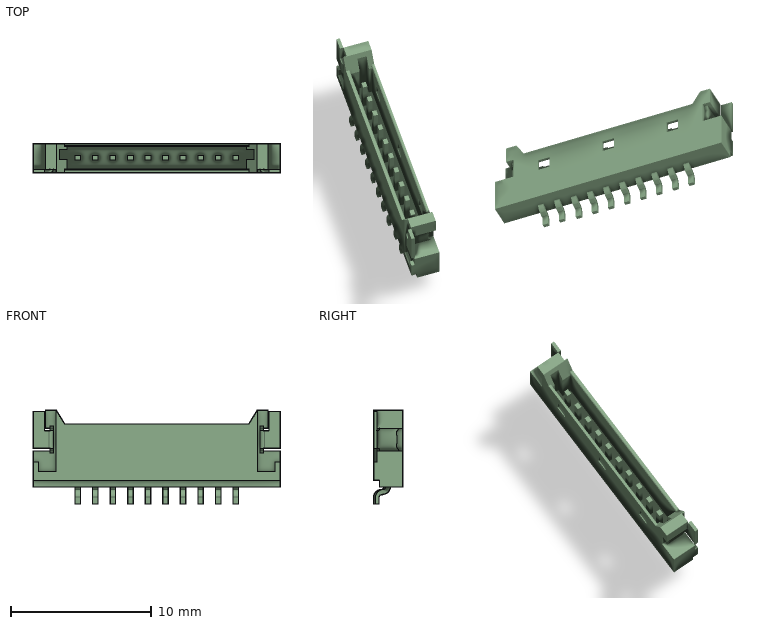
import cadquery as cq
import math


DIAGONAL = math.sqrt(0.5)

length = 17.65
half_length = length / 2
depth = 2.1
total_height = 6.7
foot_drop = 1.22
post_top = total_height - foot_drop
wall_top = 4.52
shelf_top = 2.6
step_depth = 0.42
step_height = 0.48

post_start = 0.88
slope_start = 1.66
slope_end = 2.26
slope_gradient = (post_top - wall_top) / (slope_end - slope_start)

front_wall = 0.26
back_wall = 0.21
lip_chamfer = 0.05
cavity_start = 2.42
cavity_floor = 1.11
cavity_back = depth - back_wall
cavity_width = cavity_back - front_wall
key_start = 1.87
key_front = 0.97
key_back = 1.66

pin_count = 10
pin_pitch = 1.25
pin_width = 0.4
blade_front = 0.92
blade_back = 1.24
blade_top = 3.62
pin_exit_front = 0.75
pin_exit_back = 1.1
foot_thickness = 0.26
bend_bottom = -0.69

front_lower_mid = (0.12, -0.37)
front_joint = (0.5, -0.18)
front_upper_mid = (0.65, -0.12)
rear_upper_mid = (0.99, -0.25)
rear_upper_end = (0.78, -0.46)
rear_lower_start = (0.45, -0.56)
rear_lower_mid = (0.32, -0.6)

set_back_count = 2
set_back = 0.15

window_size = 0.9
window_top = 3.45
window_spacing = 4 * pin_pitch

tab_thickness = 0.25
tab_bottom = 2.77
tab_shoulder = 4.05
tab_top = 5.4
tab_upper_width = 0.83
bend_start = 1.15
bend_inner_radius = 0.05
bend_outer_radius = bend_inner_radius + tab_thickness
bend_end = bend_start + bend_outer_radius
plate_inner = bend_start + bend_inner_radius
recess_top = 4.2
slot_bottom = 2.44
slot_top = 4.36
flare_start = bend_outer_radius
flare_radius = 0.15
flare_end = flare_start + flare_radius
plate_tip = 1.96
tip_notch = 1.62
tip_notch_middle = 1.68
tip_notch_height = 1.06
pocket_end = 1.62
pocket_floor = 1.11
corner_width = 0.39
corner_top = 1.8


def block(x0, x1, y0, y1, z0, z1):
    """Box between two opposite corners."""
    return cq.Workplane("XY").box(x1 - x0, y1 - y0, z1 - z0, centered=False).translate((x0, y0, z0))


def end_block(d0, d1, y0, y1, z0, z1):
    """Box at the left end, placed by distances from that end."""
    return block(d0 - half_length, d1 - half_length, y0, y1, z0, z1)


def both_ends(left):
    """The left-end shape together with its mirror image at the right end."""
    return left.union(left.mirror("YZ"))


def side_profile(x0):
    """Workplane at X = x0 with Y and Z as its axes, extruding toward +X."""
    return cq.Workplane("YZ").workplane(offset=x0)


def make_shell():
    """Outer housing with raised end posts and a step along the lower front edge."""
    slope_x = half_length - slope_end
    top_x = half_length - slope_start
    post_x = half_length - post_start
    outline = [
        (-half_length, 0), (half_length, 0), (half_length, shelf_top), (post_x, shelf_top),
        (post_x, post_top), (top_x, post_top), (slope_x, wall_top), (-slope_x, wall_top),
        (-top_x, post_top), (-post_x, post_top), (-post_x, shelf_top), (-half_length, shelf_top),
    ]
    shell = cq.Workplane("XZ").polyline(outline).close().extrude(-depth)
    return shell.cut(block(-half_length, half_length, 0, step_depth, 0, step_height))


def make_lip(wall_y, outward):
    """Chamfer cutter along the top inner edge of a long wall; outward is the sign of Y into the wall."""
    lip_x = half_length - slope_end
    corners = [
        (wall_y, wall_top - lip_chamfer),
        (wall_y + outward * lip_chamfer, wall_top),
        (wall_y, wall_top),
    ]
    return side_profile(-lip_x).polyline(corners).close().extrude(2 * lip_x)


def make_cavity():
    """Open-topped cavity with sloped lead-ins, keyways at the ends and a chamfered rim."""
    cavity_x = half_length - cavity_start
    cavity = block(-cavity_x, cavity_x, front_wall, cavity_back, cavity_floor, post_top)

    lead_drop = slope_gradient * (cavity_start - slope_end)
    lead_in = (
        cq.Workplane("XZ", origin=(-half_length, front_wall, 0))
        .polyline([(slope_end, wall_top), (cavity_start, wall_top), (cavity_start, wall_top - lead_drop)])
        .close().extrude(-cavity_width)
    )
    keyway = end_block(key_start, cavity_start, key_front, key_back, cavity_floor, post_top)

    ends = both_ends(lead_in.union(keyway))
    lips = make_lip(front_wall, -1).union(make_lip(cavity_back, 1))
    return cavity.union(ends).union(lips)


def make_windows():
    """Three square openings through the back wall."""
    windows = cq.Workplane("XY")
    for index in (-1, 0, 1):
        left = index * window_spacing - window_size / 2
        windows = windows.union(
            block(left, left + window_size, cavity_back, depth, window_top - window_size, window_top)
        )
    return windows


def make_plate(x0, thickness):
    """Upright tab plate: flared behind the bend and notched at its tip."""
    middle = (tab_bottom + tab_shoulder) / 2
    notch_low = middle - tip_notch_height / 2
    notch_high = middle + tip_notch_height / 2
    arc_offset = flare_radius * (1 - DIAGONAL)
    arc_y = flare_start + flare_radius * DIAGONAL
    return (
        side_profile(x0)
        .moveTo(flare_start, tab_bottom)
        .threePointArc((arc_y, tab_bottom - arc_offset), (flare_end, tab_bottom - flare_radius))
        .lineTo(flare_end, slot_bottom)
        .lineTo(plate_tip, slot_bottom)
        .lineTo(tip_notch, notch_low)
        .threePointArc((tip_notch_middle, middle), (tip_notch, notch_high))
        .lineTo(plate_tip, slot_top)
        .lineTo(flare_end, slot_top)
        .lineTo(flare_end, tab_shoulder + flare_radius)
        .threePointArc((arc_y, tab_shoulder + arc_offset), (flare_start, tab_shoulder))
        .close().extrude(thickness)
    )


def make_tab_recess():
    """Front pocket, side recess and slot for one retaining tab."""
    pocket = end_block(corner_width, pocket_end, 0, tab_thickness, pocket_floor, post_top)
    corner = end_block(0, corner_width, 0, tab_thickness, corner_top, post_top)
    side = end_block(0, bend_end, 0, depth, shelf_top, recess_top)
    slot = end_block(plate_inner, bend_end, 0, flare_end, slot_bottom, slot_top)
    return pocket.union(corner).union(side).union(slot)


def make_tab():
    """One retaining tab: a flat ear, a right-angle bend and a plate held in the slot."""
    ear = end_block(0, tab_upper_width, 0, tab_thickness, tab_bottom, tab_top)
    outer_mid = (bend_start + bend_outer_radius * DIAGONAL, bend_outer_radius * (1 - DIAGONAL))
    inner_mid = (
        bend_start + bend_inner_radius * DIAGONAL,
        bend_outer_radius - bend_inner_radius * DIAGONAL,
    )
    strip = (
        cq.Workplane("XY", origin=(-half_length, 0, tab_bottom))
        .moveTo(0, 0)
        .lineTo(bend_start, 0)
        .threePointArc(outer_mid, (bend_end, bend_outer_radius))
        .lineTo(plate_inner, bend_outer_radius)
        .threePointArc(inner_mid, (bend_start, tab_thickness))
        .lineTo(0, tab_thickness)
        .close().extrude(tab_shoulder - tab_bottom)
    )
    plate = make_plate(plate_inner - half_length, bend_end - plate_inner)
    return ear.union(strip).union(plate)


def make_pin(tail_shift):
    """One pin centred on X = 0: straight contact blade and S-bent tail, moved back by tail_shift."""
    blade = block(-pin_width / 2, pin_width / 2, blade_front, blade_back, 0, blade_top)
    tail = (
        side_profile(-pin_width / 2)
        .moveTo(0, -foot_drop)
        .lineTo(0, bend_bottom)
        .threePointArc(front_lower_mid, front_joint)
        .threePointArc(front_upper_mid, (pin_exit_front, 0))
        .lineTo(pin_exit_front, cavity_floor)
        .lineTo(pin_exit_back, cavity_floor)
        .lineTo(pin_exit_back, 0)
        .threePointArc(rear_upper_mid, rear_upper_end)
        .lineTo(*rear_lower_start)
        .threePointArc(rear_lower_mid, (foot_thickness, bend_bottom))
        .lineTo(foot_thickness, -foot_drop)
        .close().extrude(pin_width)
    )
    return blade.union(tail.translate((0, tail_shift, 0)))


housing = make_shell().cut(make_cavity()).cut(make_windows())
housing = housing.cut(both_ends(make_tab_recess()))

result = housing.union(both_ends(make_tab()))
for index in range(pin_count):
    pin_x = (index - (pin_count - 1) / 2) * pin_pitch
    tail_shift = set_back if index >= pin_count - set_back_count else 0
    result = result.union(make_pin(tail_shift).translate((pin_x, 0, 0)))